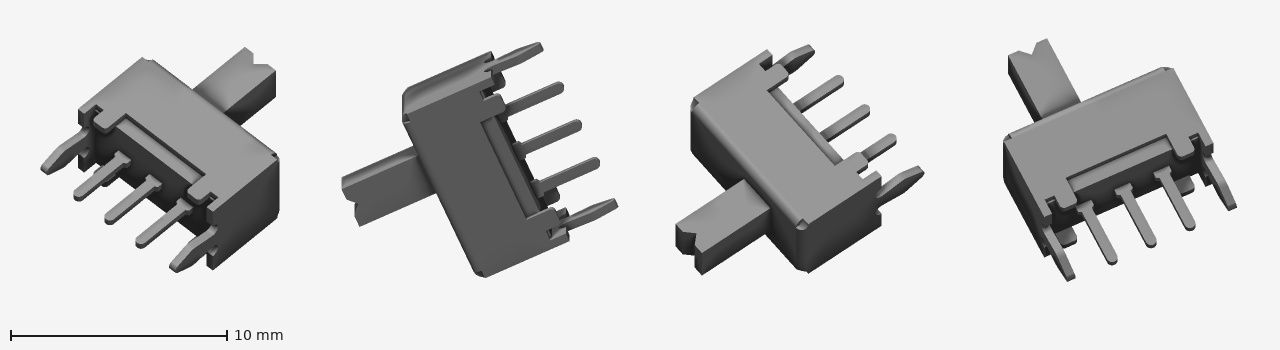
import cadquery as cq


overall_length = 11.3

shell_width = 8.7
shell_height = 4.4
side_thickness = 0.41
plate_thickness = 0.38
back_thickness = 0.41
bend_radius = 0.41
side_end = -4.69
shoulder_end = -3.9
window_end = -3.31
window_width = 5.18
tab_width = 0.86
tab_fillet = 0.2

notch_radius = 0.35
notch_offset = 0.77
lug_peak_y = -6.02
lug_peak_half_height = 0.61
lug_tip_y = -7.19
lug_tip_round_y = -7.05
lug_tip_round_half_height = 0.24
lug_peak_fillet = 0.68
lug_peak_margin = 0.11

core_end = -3.98
slider_size = 2.0
slider_length = 4.0
slider_x = -1.01
notch_depth = 0.45

pin_count = 3
pin_pitch = 2.0
pin_thickness = 0.35
pin_tip_y = slider_length - overall_length
pin_width = 0.51
pin_head_width = 0.81
pin_head_length = 0.38
pin_shoulder_length = 0.09

cavity_width = shell_width - 2 * side_thickness
cavity_height = shell_height - 2 * plate_thickness
tab_x = (window_width + tab_width) / 2
lug_root_half_height = notch_offset - notch_radius


def block(width, y_front, y_back, height, x=0.0):
    """Box centred on Z = 0 that runs from y_front to y_back."""
    length = y_back - y_front
    return cq.Workplane("XY").box(width, length, height).translate((x, y_front + length / 2, 0))


def side_plates():
    """Both side walls, each ending in a mounting lug between two round notches."""
    outline = (
        cq.Workplane("YZ")
        .moveTo(0, -shell_height / 2)
        .lineTo(side_end, -shell_height / 2)
        .lineTo(side_end, -notch_offset - notch_radius)
        .threePointArc((side_end + notch_radius, -notch_offset), (side_end, -lug_root_half_height))
        .lineTo(lug_peak_y, -lug_peak_half_height)
        .lineTo(lug_tip_round_y, -lug_tip_round_half_height)
        .threePointArc((lug_tip_y, 0), (lug_tip_round_y, lug_tip_round_half_height))
        .lineTo(lug_peak_y, lug_peak_half_height)
        .lineTo(side_end, lug_root_half_height)
        .threePointArc((side_end + notch_radius, notch_offset), (side_end, notch_offset + notch_radius))
        .lineTo(side_end, shell_height / 2)
        .lineTo(0, shell_height / 2)
        .close()
    )
    plate = outline.extrude(side_thickness)
    peak_edges = cq.selectors.BoxSelector(
        (0, lug_peak_y - lug_peak_margin, -shell_height),
        (side_thickness, lug_peak_y + lug_peak_margin, shell_height),
    )
    plate = plate.edges("|X").edges(peak_edges).fillet(lug_peak_fillet)
    left = plate.translate((-shell_width / 2, 0, 0))
    right = plate.translate((cavity_width / 2, 0, 0))
    return left, right


def shell_tabs():
    """Four tabs: each pair runs through the top and bottom plates, rounded at the free end."""
    tabs = []
    for side in (-1, 1):
        tab = block(tab_width, side_end, shoulder_end, shell_height, side * tab_x)
        tabs.append(tab.edges("|Z and <Y").fillet(tab_fillet))
    return tabs


def bend_relief(side, level):
    """Round cutter along X that separates the folds at one back corner."""
    x_start = cavity_width / 2 if side > 0 else -shell_width / 2
    return (
        cq.Workplane("YZ", origin=(x_start, 0, level * shell_height / 2))
        .circle(bend_radius)
        .extrude(side_thickness)
    )


def slider_blank():
    """Square bar of the slider, also the shape of its opening in the shell."""
    return block(slider_size, -back_thickness, slider_length, slider_size, slider_x)


def make_shell():
    left_plate, right_plate = side_plates()
    shell = block(shell_width, shoulder_end, 0, shell_height)
    for tab in shell_tabs():
        shell = shell.union(tab)
    shell = shell.cut(block(window_width, side_end, window_end, shell_height))
    shell = shell.union(left_plate).union(right_plate)
    shell = shell.faces(">Y").edges().fillet(bend_radius)
    for side in (-1, 1):
        for level in (-1, 1):
            shell = shell.cut(bend_relief(side, level))
    shell = shell.cut(block(cavity_width, side_end, -back_thickness, cavity_height))
    return shell.cut(slider_blank())


def make_core():
    """Insulating block that fills the shell, with the slider standing out of its back."""
    thumb_notch = (
        cq.Workplane("XY", origin=(slider_x, slider_length, -slider_size / 2))
        .moveTo(-notch_depth, 0)
        .lineTo(0, -notch_depth)
        .lineTo(notch_depth, 0)
        .close()
        .extrude(slider_size)
    )
    insulator = block(cavity_width, core_end, -back_thickness, cavity_height)
    return insulator.union(slider_blank().cut(thumb_notch))


def make_pin(x):
    """Flat terminal: wide head at the core, sloped shoulders, narrow stem and half-round tip."""
    shoulder_y = core_end - pin_head_length
    tip_centre_y = pin_tip_y + pin_width / 2
    return (
        cq.Workplane("XY", origin=(x, 0, -pin_thickness / 2))
        .moveTo(-pin_head_width / 2, core_end)
        .lineTo(-pin_head_width / 2, shoulder_y + pin_shoulder_length)
        .lineTo(-pin_width / 2, shoulder_y)
        .lineTo(-pin_width / 2, tip_centre_y)
        .threePointArc((0, pin_tip_y), (pin_width / 2, tip_centre_y))
        .lineTo(pin_width / 2, shoulder_y)
        .lineTo(pin_head_width / 2, shoulder_y + pin_shoulder_length)
        .lineTo(pin_head_width / 2, core_end)
        .close()
        .extrude(pin_thickness)
    )


shell = make_shell()
core = make_core()
pins = [make_pin((i - (pin_count - 1) / 2) * pin_pitch) for i in range(pin_count)]

result = cq.Compound.makeCompound([shell.val(), core.val(), *[pin.val() for pin in pins]])